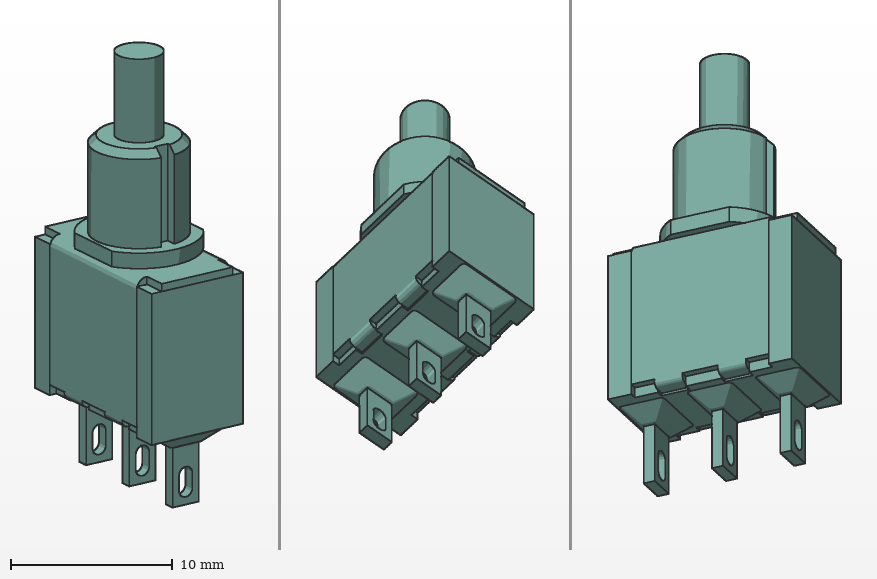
import cadquery as cq

OVERALL_HEIGHT = 28.35

HOUSING_LENGTH = 12.7
HOUSING_DEPTH = 6.9
HOUSING_HEIGHT = 9.95

SHEET = 0.5
TOP_BEND_RADIUS = 0.77
INNER_BEND_RADIUS = TOP_BEND_RADIUS - SHEET
PANEL_LENGTH = 9.47
PANEL_BOTTOM = 0.68
FRAME_TOP = HOUSING_HEIGHT + SHEET
PLATE_DEPTH = HOUSING_DEPTH - 2 * TOP_BEND_RADIUS
CORE_DEPTH = HOUSING_DEPTH - 2 * SHEET

TAB_LENGTH = 1.93
TAB_OFFSET = 2.18
TAB_BEND_RADIUS = 0.45
TAB_BOTTOM = PANEL_BOTTOM - SHEET
TAB_REACH = 2 * SHEET

FLANGE_DIAMETER = 8.0
FLANGE_THICKNESS = 1.02
BUSHING_DIAMETER = 6.35
BUSHING_TOP = 17.85
BUSHING_CHAMFER = 0.5
KEYWAY_WIDTH = 1.0
KEYWAY_FLOOR = 2.4
FLANGE_TOP = FRAME_TOP + FLANGE_THICKNESS

PLUNGER_DIAMETER = 3.1
PLUNGER_TOP = 23.35

TERMINAL_COUNT = 3
TERMINAL_PITCH = 4.7
TERMINAL_THICKNESS = 0.77
TERMINAL_WIDTH = 1.98
TERMINAL_LENGTH = OVERALL_HEIGHT - PLUNGER_TOP
EYE_WIDTH = 1.0
EYE_LENGTH = 1.98
EYE_HEIGHT = 1.5
BOSS_LENGTH = 3.12
BOSS_DEPTH = 4.42
BOSS_HEIGHT = 1.05
BOSS_TAPER = 45
BOSS_ROUND = 0.45

TERMINAL_XS = [(i - (TERMINAL_COUNT - 1) / 2) * TERMINAL_PITCH for i in range(TERMINAL_COUNT)]
TAB_XS = [-TAB_OFFSET, TAB_OFFSET]


def block(length, depth, bottom, top):
    """Box centred on the Z axis between two heights."""
    return cq.Workplane("XY").workplane(offset=bottom).rect(length, depth).extrude(top - bottom)


def cylinder(diameter, bottom, top):
    """Cylinder on the Z axis between two heights."""
    return cq.Workplane("XY").workplane(offset=bottom).circle(diameter / 2).extrude(top - bottom)


def terminal_blank(x):
    """Flat blade below the housing, before its eye is cut."""
    return block(TERMINAL_THICKNESS, TERMINAL_WIDTH, -TERMINAL_LENGTH, 0).translate((x, 0, 0))


def make_boss(x):
    """Tapered boss with rounded corners under the housing."""
    boss = cq.Workplane("XY").rect(BOSS_LENGTH, BOSS_DEPTH).extrude(-BOSS_HEIGHT, taper=BOSS_TAPER)
    return boss.edges("not >Z").fillet(BOSS_ROUND).translate((x, 0, 0))


def make_housing():
    """Block recessed for the panels, with tab slots and a boss for each terminal."""
    core = block(PANEL_LENGTH, CORE_DEPTH, 0, HOUSING_HEIGHT)
    core = core.edges("|X and >Z").fillet(INNER_BEND_RADIUS)
    housing = block(HOUSING_LENGTH, HOUSING_DEPTH, 0, HOUSING_HEIGHT)
    housing = housing.cut(block(PANEL_LENGTH, HOUSING_DEPTH, 0, HOUSING_HEIGHT)).union(core)

    slot_depth = HOUSING_DEPTH - 2 * TAB_REACH
    slot = block(TAB_LENGTH, HOUSING_DEPTH, 0, PANEL_BOTTOM)
    slot = slot.cut(block(TAB_LENGTH, slot_depth, 0, PANEL_BOTTOM))
    for x in TAB_XS:
        housing = housing.cut(slot.translate((x, 0, 0)))
    for x in TERMINAL_XS:
        housing = housing.union(make_boss(x)).cut(terminal_blank(x))
    return housing


def make_frame():
    """Top plate bent down into a front and a back panel, each with two folded tabs."""
    channel = block(PANEL_LENGTH, HOUSING_DEPTH, PANEL_BOTTOM, FRAME_TOP)
    channel = channel.edges("|X and >Z").fillet(TOP_BEND_RADIUS)
    cavity = block(PANEL_LENGTH, CORE_DEPTH, PANEL_BOTTOM, HOUSING_HEIGHT)
    cavity = cavity.edges("|X and >Z").fillet(INNER_BEND_RADIUS)
    plate = block(HOUSING_LENGTH, PLATE_DEPTH, HOUSING_HEIGHT, FRAME_TOP)
    frame = channel.cut(cavity).union(plate)

    tabs = block(TAB_LENGTH, HOUSING_DEPTH, TAB_BOTTOM, PANEL_BOTTOM)
    tabs = tabs.edges("|X and <Z").fillet(TAB_BEND_RADIUS)
    tabs = tabs.cut(block(TAB_LENGTH, HOUSING_DEPTH - 2 * TAB_REACH, TAB_BOTTOM, PANEL_BOTTOM))
    for x in TAB_XS:
        frame = frame.union(tabs.translate((x, 0, 0)))
    return frame


def make_bushing():
    """Chamfered sleeve with a keyway on a flange flattened to the housing depth."""
    flange = cylinder(FLANGE_DIAMETER, FRAME_TOP, FLANGE_TOP)
    flange = flange.intersect(block(FLANGE_DIAMETER, HOUSING_DEPTH, FRAME_TOP, FLANGE_TOP))
    sleeve = cylinder(BUSHING_DIAMETER, FLANGE_TOP, BUSHING_TOP)
    sleeve = sleeve.faces(">Z").edges().chamfer(BUSHING_CHAMFER)
    keyway = block(BUSHING_DIAMETER, KEYWAY_WIDTH, FLANGE_TOP, BUSHING_TOP)
    sleeve = sleeve.cut(keyway.translate((KEYWAY_FLOOR + BUSHING_DIAMETER / 2, 0, 0)))
    return flange.union(sleeve).cut(make_plunger())


def make_plunger():
    """Round rod through the bushing, standing on the frame."""
    return cylinder(PLUNGER_DIAMETER, FRAME_TOP, PLUNGER_TOP)


def make_terminal(x):
    """Blade with an oblong solder eye through its thickness."""
    eye = (
        cq.Workplane("YZ")
        .center(0, EYE_HEIGHT - TERMINAL_LENGTH)
        .slot2D(EYE_LENGTH, EYE_WIDTH, 90)
        .extrude(TERMINAL_THICKNESS / 2, both=True)
    )
    return terminal_blank(x).cut(eye.translate((x, 0, 0)))


housing = make_housing()
frame = make_frame()
bushing = make_bushing()
plunger = make_plunger()
terminals = [make_terminal(x) for x in TERMINAL_XS]

result = cq.Compound.makeCompound(
    [
        housing.solids().val(),
        frame.solids().val(),
        bushing.solids().val(),
        plunger.solids().val(),
        *[terminal.solids().val() for terminal in terminals],
    ]
)